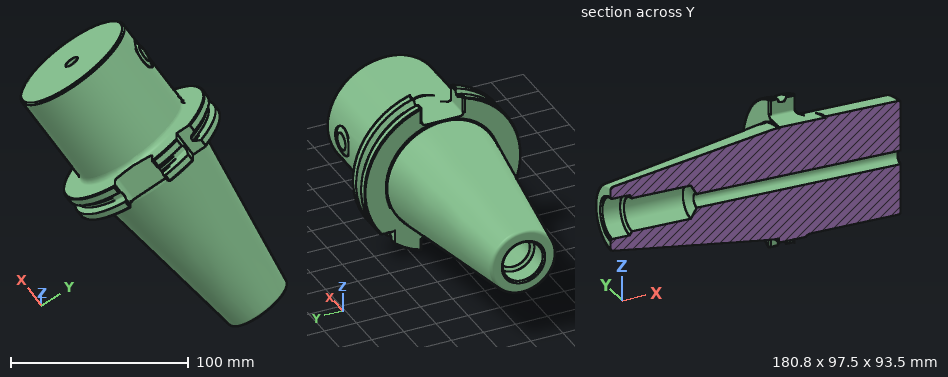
import cadquery as cq
import math

gauge_dia = 69.85
taper_ratio = 7 / 24
taper_length = 101.75
taper_end_fillet = 2.0
gauge_radius = gauge_dia / 2
taper_end_radius = gauge_radius - taper_length * taper_ratio / 2
taper_end = -taper_length

flange_front = 3.2
flange_back = 19.1
flange_radius = 97.5 / 2
flange_chamfer = 0.5
root_fillet = 0.6
groove_center = 11.05
groove_mouth_width = 6.5
groove_floor_radius = 45.6
groove_floor_fillet = 0.8
groove_half_angle = 30

nose_end = 79.0
nose_radius = 36.0
nose_fillet = 4.0
nose_chamfer = 1.0

slot_width = 25.7
slot_corner_fillet = 2.0
slot_edge_chamfer = 1.0
slot_end = 31.7
top_slot_floor = 35.3
bottom_slot_floor = 37.5
notch_offset = 29.7

bore_radius = 12.5
bore_mouth_chamfer = 1.0
bore_depth = 12.0
thread_radius = 10.3
thread_depth = 50.0
passage_radius = 4.15
drill_half_angle = 59

screw_center = 59.3
screw_radius = 8.8
screw_top = 36.3
screw_length = 16.0
screw_edge_radial = 3.6
screw_edge_axial = 1.3


def cone_run(radius_change, half_angle):
    """Axial length over which a cone changes its radius by the given amount."""
    return radius_change / math.tan(math.radians(half_angle))


def revolve_about_x(profile):
    """Turn a closed profile, drawn with X along the axis and Z as radius, about the X axis."""
    return profile.close().revolve(360, (0, 0, 0), (1, 0, 0))


def make_blank():
    """Turned outline of taper, flange and nose, before the slots and the flange details."""
    profile = (
        cq.Workplane("XZ")
        .moveTo(taper_end, 0)
        .lineTo(taper_end, taper_end_radius)
        .lineTo(0, gauge_radius)
        .lineTo(flange_front - root_fillet, gauge_radius)
        .radiusArc((flange_front, gauge_radius + root_fillet), -root_fillet)
        .lineTo(flange_front, flange_radius)
        .lineTo(flange_back, flange_radius)
        .lineTo(flange_back, nose_radius + nose_fillet)
        .radiusArc((flange_back + nose_fillet, nose_radius), -nose_fillet)
        .lineTo(nose_end - nose_chamfer, nose_radius)
        .lineTo(nose_end, nose_radius - nose_chamfer)
        .lineTo(nose_end, 0)
    )
    return revolve_about_x(profile).faces("<X").edges().fillet(taper_end_fillet)


def make_slot_cutter(floor):
    """Drive slot on the +Z side: filleted along its lower corners, with a round end in plan."""
    height = flange_radius - floor
    half_width = slot_width / 2
    channel = (
        cq.Workplane("XY", origin=(0, 0, floor))
        .rect(2 * slot_end, slot_width)
        .extrude(height)
        .edges("|X and <Z")
        .fillet(slot_corner_fillet)
    )
    plan = (
        cq.Workplane("XY", origin=(0, 0, floor))
        .moveTo(0, -half_width)
        .lineTo(slot_end - half_width, -half_width)
        .threePointArc((slot_end, 0), (slot_end - half_width, half_width))
        .lineTo(0, half_width)
        .close()
        .extrude(height)
    )
    return channel.intersect(plan)


def make_slot_bevels(floor):
    """Wedges that bevel the rim edges and the front edges of the +Z slot's side walls."""
    half_width = slot_width / 2
    rim_slope = math.asin(half_width / flange_radius)
    rim_z = flange_radius * math.cos(rim_slope)
    wall_foot = floor + slot_corner_fillet
    rim_wedge = (
        cq.Workplane("YZ", origin=(flange_front, half_width, rim_z))
        .moveTo(0, -slot_edge_chamfer)
        .lineTo(slot_edge_chamfer * math.cos(rim_slope), -slot_edge_chamfer * math.sin(rim_slope))
        .lineTo(slot_edge_chamfer, slot_edge_chamfer)
        .lineTo(0, slot_edge_chamfer)
        .close()
        .extrude(flange_back - flange_front)
    )
    front_wedge = (
        cq.Workplane("XY", origin=(flange_front, half_width, wall_foot))
        .lineTo(slot_edge_chamfer, 0)
        .lineTo(0, slot_edge_chamfer)
        .close()
        .extrude(rim_z - wall_foot)
    )
    wedges = rim_wedge.union(front_wedge)
    return wedges.union(wedges.mirror("XZ"))


def make_groove():
    """V-groove ring around the flange."""
    half_mouth = groove_mouth_width / 2
    half_floor = half_mouth - (flange_radius - groove_floor_radius) * math.tan(
        math.radians(groove_half_angle)
    )
    profile = (
        cq.Workplane("XZ")
        .moveTo(groove_center - half_mouth, flange_radius)
        .lineTo(groove_center - half_floor, groove_floor_radius)
        .lineTo(groove_center + half_floor, groove_floor_radius)
        .lineTo(groove_center + half_mouth, flange_radius)
    )
    ring = revolve_about_x(profile)
    floor_edges = cq.selectors.RadiusNthSelector(0)
    return ring.edges(floor_edges).fillet(groove_floor_fillet)


def make_rim_chamfer(face_x, inward):
    """Ring that bevels one outer edge of the flange; inward is the X direction into the flange."""
    profile = (
        cq.Workplane("XZ")
        .moveTo(face_x, flange_radius - flange_chamfer)
        .lineTo(face_x, flange_radius)
        .lineTo(face_x + inward * flange_chamfer, flange_radius)
    )
    return revolve_about_x(profile)


def make_notch():
    """Square orientation notch through the flange in the +Y, -Z quadrant."""
    return (
        cq.Workplane("YZ", origin=(flange_front, notch_offset, -notch_offset))
        .rect(flange_radius, -flange_radius, centered=False)
        .extrude(flange_back - flange_front)
    )


def make_bore():
    """Drawbar bore from the small end of the taper, with a coolant passage through the nose."""
    bore_end = taper_end + bore_depth
    thread_start = bore_end + cone_run(bore_radius - thread_radius, drill_half_angle)
    thread_end = taper_end + thread_depth
    passage_start = thread_end + cone_run(thread_radius - passage_radius, drill_half_angle)
    profile = (
        cq.Workplane("XZ")
        .moveTo(taper_end, 0)
        .lineTo(taper_end, bore_radius + bore_mouth_chamfer)
        .lineTo(taper_end + bore_mouth_chamfer, bore_radius)
        .lineTo(bore_end, bore_radius)
        .lineTo(thread_start, thread_radius)
        .lineTo(thread_end, thread_radius)
        .lineTo(passage_start, passage_radius)
        .lineTo(nose_end, passage_radius)
        .lineTo(nose_end, 0)
    )
    return revolve_about_x(profile)


def make_screw_cylinder():
    """Plain cylinder of the screw, also used to cut its hole in the nose."""
    screw_bottom = screw_top - screw_length
    return (
        cq.Workplane("XZ", origin=(screw_center, screw_bottom, 0))
        .circle(screw_radius)
        .extrude(-screw_length)
    )


def make_holder():
    holder = make_blank()
    holder = holder.cut(make_slot_cutter(top_slot_floor))
    holder = holder.cut(make_slot_bevels(top_slot_floor))
    holder = holder.cut(make_slot_cutter(bottom_slot_floor).mirror("XY"))
    holder = holder.cut(make_slot_bevels(bottom_slot_floor).mirror("XY"))
    holder = holder.cut(make_groove())
    holder = holder.cut(make_rim_chamfer(flange_front, 1))
    holder = holder.cut(make_rim_chamfer(flange_back, -1))
    holder = holder.cut(make_notch())
    holder = holder.cut(make_bore())
    return holder.cut(make_screw_cylinder())


def make_screw():
    return make_screw_cylinder().faces(">Y").chamfer(screw_edge_axial, screw_edge_radial)


holder = make_holder()
screw = make_screw()

result = cq.Compound.makeCompound([holder.val(), screw.val()])